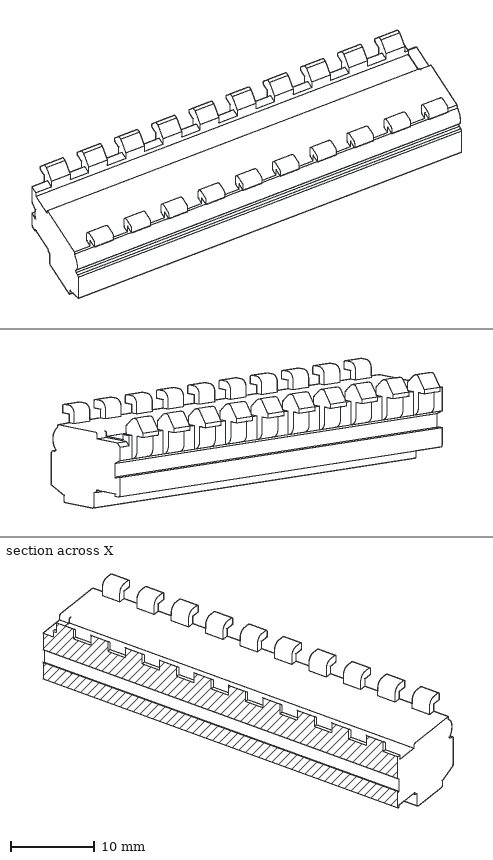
import cadquery as cq
import math


length = 51.5
cover_thickness = 1.45
body_length = length - cover_thickness

deck_z = 9.35
right_x = 12.55
foot_left_x = 4.8
foot_right_x = 10.25
foot_top_z = 2.0
foot_slope_z = 0.9
foot_corner = 0.25
foot_root = 0.2
wall_chamfer = 0.2
lower_chamfer_height = 0.1
recess_x = 0.95
recess_bottom_z = 4.3
recess_top_z = 6.0
recess_lip_z = 6.5
ledge_z = 4.45
ledge_corner = 0.35
ledge_width = 0.65
pad_depth = 0.3
pad_left_x = 0.9
pad_right_x = 4.35
underside_z = foot_top_z + pad_depth
wall_top_z = 6.0
wall_bottom_z = 1.85
notch_x = 11.75
notch_lip_x = 11.95
notch_z = 6.25
bulge_x = 12.25
bulge_z = 7.7
bulge_top_z = 8.95

groove_left_x = 1.1
groove_right_x = 4.05
groove_z = 8.75
cover_groove_right_x = 4.15
cover_groove_z = 8.6
cover_chamfer = 0.45
groove_draft = 0.05
groove_round = 0.3
cover_shoulder_width = 0.15

pitch = 5.0
clip_count = 10
clip_width = 2.5
first_clip_y = 2.1
top_z = 11.5

latch_tip_x = -2.0
latch_tip_z = 9.9
latch_shoulder_z = 10.4
latch_stem_x = -0.95
stem_round_z = 7.4
stem_curve_x = -0.65
stem_curve_z = 6.85
latch_slope_x = -1.05
latch_slope_z = 11.2
latch_round_x = -0.9
latch_round_z = 11.4
latch_top_left_x = -0.6
latch_top_right_x = -0.3
latch_bevel_z = 11.35

hook_left_x = 10.55
hook_stem_x = 11.5
hook_tip_x = 12.65
hook_underside_z = 10.4
hook_bend = 0.95
hook_tip_round = 0.3

cos45 = math.cos(math.pi / 4)


def extrude_along_y(sketch, start_y, depth):
    """Extrude an XZ section from start_y towards +Y."""
    return sketch.extrude(-depth).translate((0, start_y, 0))


def body_section():
    """Body outline, up to the plain deck, walked counter-clockwise from the foot."""
    foot_bend = foot_corner * (1 - cos45)
    root_bend = foot_root * (1 - cos45)
    root_z = foot_top_z - foot_root
    ledge_bend = ledge_corner * (1 - cos45)
    return (
        cq.Workplane("XZ")
        .moveTo(foot_left_x + foot_corner, 0)
        .lineTo(foot_right_x - foot_corner, 0)
        .threePointArc((foot_right_x - foot_bend, foot_bend), (foot_right_x, foot_corner))
        .lineTo(foot_right_x, foot_slope_z)
        .lineTo(right_x - wall_chamfer, wall_bottom_z - lower_chamfer_height)
        .lineTo(right_x, wall_bottom_z)
        .lineTo(right_x, wall_top_z - wall_chamfer)
        .lineTo(right_x - wall_chamfer, wall_top_z)
        .lineTo(notch_lip_x, wall_top_z)
        .lineTo(notch_x, notch_z)
        .threePointArc((bulge_x, bulge_z), (hook_stem_x, bulge_top_z))
        .lineTo(hook_stem_x, deck_z)
        .lineTo(0, deck_z)
        .lineTo(0, recess_lip_z)
        .lineTo(recess_x, recess_top_z)
        .lineTo(recess_x, recess_bottom_z)
        .lineTo(ledge_width, recess_bottom_z)
        .lineTo(ledge_width, ledge_z)
        .lineTo(0, ledge_z)
        .lineTo(0, foot_top_z + ledge_corner)
        .threePointArc((ledge_bend, foot_top_z + ledge_bend), (ledge_corner, foot_top_z))
        .lineTo(pad_left_x, foot_top_z)
        .lineTo(pad_left_x, underside_z)
        .lineTo(pad_right_x, underside_z)
        .lineTo(pad_right_x, foot_top_z)
        .lineTo(foot_left_x - foot_root, foot_top_z)
        .threePointArc((foot_left_x - root_bend, foot_top_z - root_bend), (foot_left_x, root_z))
        .lineTo(foot_left_x, foot_corner)
        .threePointArc((foot_left_x + foot_bend, foot_bend), (foot_left_x + foot_corner, 0))
        .close()
    )


def close_groove(outline, wall_x):
    """Finish a groove outline with its right wall, rounded over into the deck."""
    bend = groove_round * (1 - cos45)
    return (
        outline
        .lineTo(wall_x, deck_z - groove_round)
        .threePointArc((wall_x + bend, deck_z - bend), (wall_x + groove_round, deck_z))
        .close()
    )


def body_groove():
    """Shallow groove along the deck, with a slightly drafted left wall."""
    outline = (
        cq.Workplane("XZ")
        .moveTo(groove_left_x, deck_z)
        .lineTo(groove_left_x + groove_draft, groove_z)
        .lineTo(groove_right_x, groove_z)
    )
    return extrude_along_y(close_groove(outline, groove_right_x), 0, body_length)


def cover_groove():
    """Deeper groove in the end cover, open to the left through a chamfered edge."""
    outline = (
        cq.Workplane("XZ")
        .moveTo(0, deck_z)
        .lineTo(0, cover_groove_z - cover_chamfer)
        .lineTo(cover_chamfer, cover_groove_z)
        .lineTo(cover_groove_right_x, cover_groove_z)
    )
    return extrude_along_y(close_groove(outline, cover_groove_right_x), body_length, cover_thickness)


def cover_shoulder():
    """Sliver that slopes the upper right edge of the end cover."""
    section = (
        cq.Workplane("XZ")
        .moveTo(hook_stem_x - cover_shoulder_width, deck_z)
        .lineTo(hook_stem_x, deck_z)
        .lineTo(hook_stem_x, bulge_top_z)
        .close()
    )
    return extrude_along_y(section, body_length, cover_thickness)


def latch(start_y):
    """Arrow-headed latch whose stem curves into the left wall of the body."""
    section = (
        cq.Workplane("XZ")
        .moveTo(recess_x, recess_top_z)
        .lineTo(0, recess_lip_z)
        .threePointArc((stem_curve_x, stem_curve_z), (latch_stem_x, stem_round_z))
        .lineTo(latch_stem_x, deck_z)
        .lineTo(latch_tip_x, deck_z)
        .lineTo(latch_tip_x, latch_tip_z)
        .lineTo(latch_slope_x, latch_slope_z)
        .threePointArc((latch_round_x, latch_round_z), (latch_top_left_x, top_z))
        .lineTo(latch_top_right_x, top_z)
        .lineTo(0, latch_bevel_z)
        .lineTo(groove_left_x, latch_shoulder_z)
        .lineTo(groove_left_x, deck_z)
        .lineTo(recess_x, deck_z)
        .close()
    )
    return extrude_along_y(section, start_y, clip_width)


def hook(start_y):
    """Hook standing on the right edge of the deck and bent outwards."""
    bend = hook_bend * (1 - cos45)
    tip = hook_tip_round * (1 - cos45)
    section = (
        cq.Workplane("XZ")
        .moveTo(hook_left_x, deck_z)
        .lineTo(hook_stem_x, deck_z)
        .lineTo(hook_stem_x, hook_underside_z)
        .lineTo(hook_tip_x, hook_underside_z)
        .lineTo(hook_tip_x, top_z - hook_tip_round)
        .threePointArc((hook_tip_x - tip, top_z - tip), (hook_tip_x - hook_tip_round, top_z))
        .lineTo(hook_left_x + hook_bend, top_z)
        .threePointArc((hook_left_x + bend, top_z - bend), (hook_left_x, top_z - hook_bend))
        .close()
    )
    return extrude_along_y(section, start_y, clip_width)


result = extrude_along_y(body_section(), 0, length)
result = result.cut(body_groove()).cut(cover_groove()).cut(cover_shoulder())
for index in range(clip_count):
    clip_y = first_clip_y + index * pitch
    result = result.union(latch(clip_y)).union(hook(clip_y))